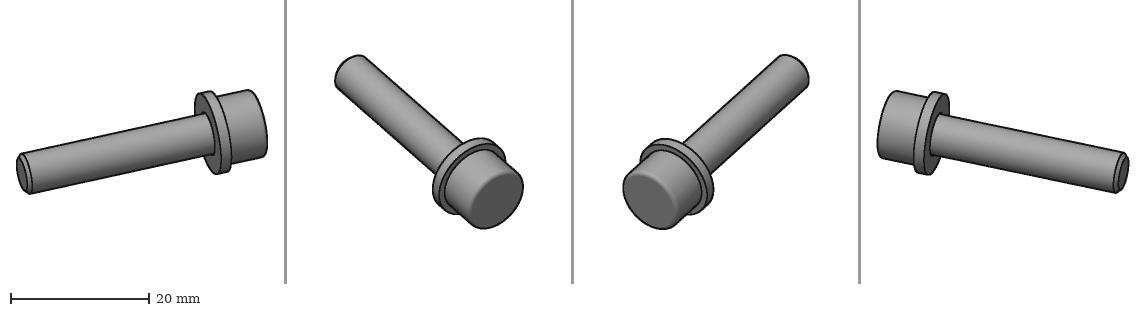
import cadquery as cq

SHANK_DIAMETER = 6.0
SHANK_LENGTH = 30.0
TIP_CHAMFER = 0.58

HEAD_DIAMETER = 10.0
HEAD_HEIGHT = SHANK_DIAMETER
HEAD_FILLET = 0.6

WASHER_DIAMETER = 2 * SHANK_DIAMETER
WASHER_THICKNESS = 1.6
WASHER_HOLE_DIAMETER = 6.4

TILT_DEGREES = 1.1


def cylinder_toward_tip(diameter, length):
    """Cylinder on the screw axis, from the head seat toward the tip."""
    return cq.Workplane("XZ").circle(diameter / 2).extrude(length)


def make_shank():
    shank = cylinder_toward_tip(SHANK_DIAMETER, SHANK_LENGTH)
    return shank.faces("<Y").chamfer(TIP_CHAMFER)


def make_head():
    head = cylinder_toward_tip(HEAD_DIAMETER, -HEAD_HEIGHT)
    return head.faces(">Y").edges().fillet(HEAD_FILLET)


def make_washer():
    washer = cylinder_toward_tip(WASHER_DIAMETER, WASHER_THICKNESS)
    hole = cylinder_toward_tip(WASHER_HOLE_DIAMETER, WASHER_THICKNESS)
    return washer.cut(hole)


screw = make_head().union(make_shank()).union(make_washer())
result = screw.rotate((0, 0, 0), (0, 0, 1), TILT_DEGREES)